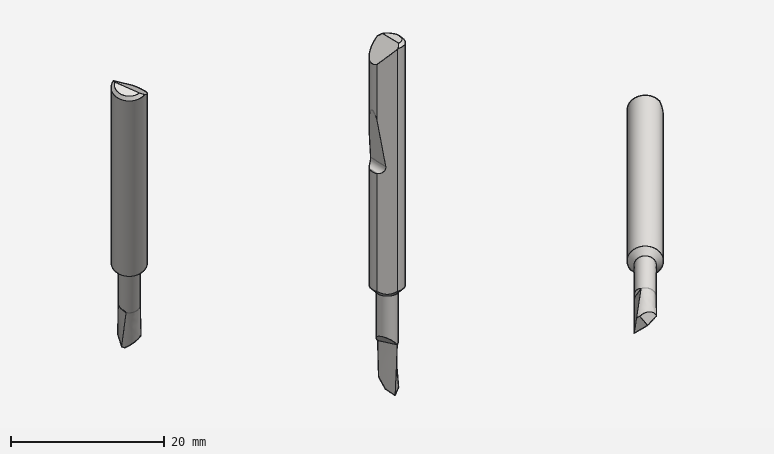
import cadquery as cq
import math


TOTAL_LENGTH = 50.8
SHANK_RADIUS = 4.76 / 2
SHANK_BOTTOM_Z = 15.3
TOP_CHAMFER = 0.45
TOP_BEVEL_HEIGHT = 2.9
FLAT_NORMAL_ANGLE = 145
FLAT_DISTANCE = 1.96

NOTCH_BOTTOM_Z = 32.3
NOTCH_TOP_Z = 41.2
NOTCH_DEPTH = 1.25
NOTCH_FILLET = 0.9

NECK_RADIUS = 1.46
NECK_CONE_BOTTOM_Z = SHANK_BOTTOM_Z - (SHANK_RADIUS - NECK_RADIUS)

TIP_TOP_Z = 6.95
TIP_BOTTOM_RADIUS = 1.75
CUTTING_ANGLE_TOP = 210
HEEL_ANGLE_TOP = 284
RAKE_END_ANGLE_TOP = 26
CUTTING_ANGLE_BOTTOM = 181
HEEL_ANGLE_BOTTOM = 265
RAKE_END_ANGLE_BOTTOM = 5
END_CLEARANCE_ANGLE = 4.5
TIP_CHAMFER_HEIGHT = 1.57

CUT_SIZE = 4 * SHANK_RADIUS


def polar(radius, angle):
    return radius * math.cos(math.radians(angle)), radius * math.sin(math.radians(angle))


def make_shank_and_neck():
    profile = [
        (0, TIP_TOP_Z),
        (NECK_RADIUS, TIP_TOP_Z),
        (NECK_RADIUS, NECK_CONE_BOTTOM_Z),
        (SHANK_RADIUS, SHANK_BOTTOM_Z),
        (SHANK_RADIUS, TOTAL_LENGTH - TOP_CHAMFER),
        (SHANK_RADIUS - TOP_CHAMFER, TOTAL_LENGTH),
        (0, TOTAL_LENGTH),
    ]
    return cq.Workplane("XZ").polyline(profile).close().revolve(360, (0, 0), (0, 1))


def make_shank_flat_cutter():
    return (
        cq.Workplane("XY")
        .box(CUT_SIZE, CUT_SIZE, TOTAL_LENGTH, centered=(False, True, False))
        .translate((FLAT_DISTANCE, 0, NECK_CONE_BOTTOM_Z))
        .rotate((0, 0, 0), (0, 0, 1), FLAT_NORMAL_ANGLE)
    )


def make_top_bevel_cutter():
    corners = [
        (SHANK_RADIUS, TOTAL_LENGTH - TOP_BEVEL_HEIGHT),
        (SHANK_RADIUS, TOTAL_LENGTH),
        (SHANK_RADIUS - TOP_BEVEL_HEIGHT, TOTAL_LENGTH),
    ]
    return cq.Workplane("YZ").polyline(corners).close().extrude(SHANK_RADIUS, both=True)


def make_notch_cutter():
    corners = [
        (SHANK_RADIUS, NOTCH_BOTTOM_Z),
        (SHANK_RADIUS - NOTCH_DEPTH, NOTCH_BOTTOM_Z),
        (SHANK_RADIUS, NOTCH_TOP_Z),
    ]
    floor_corner = cq.selectors.NearestToPointSelector((0, SHANK_RADIUS - NOTCH_DEPTH, NOTCH_BOTTOM_Z))
    return (
        cq.Workplane("YZ")
        .polyline(corners)
        .close()
        .extrude(SHANK_RADIUS, both=True)
        .edges("|X")
        .edges(floor_corner)
        .fillet(NOTCH_FILLET)
    )


def make_runout_cutter(start_angle, end_angle):
    """45 degree run-out of a tip face into the neck, rising outward from its chord across the section."""
    outward_angle = (start_angle + end_angle) / 2
    half_span = (end_angle - start_angle) / 2
    chord_distance = NECK_RADIUS * math.cos(math.radians(half_span))
    run_length = 2 * NECK_RADIUS
    plane = cq.Plane(
        origin=(0, 0, TIP_TOP_Z),
        xDir=(*polar(1, outward_angle), 0),
        normal=(*polar(1, outward_angle - 90), 0),
    )
    corners = [
        (chord_distance, 0),
        (chord_distance + run_length, 0),
        (chord_distance + run_length, run_length),
    ]
    return cq.Workplane(plane).polyline(corners).close().extrude(CUT_SIZE, both=True)


def draw_tip_section(plane, radius, cutting_angle, heel_angle, rake_end_angle):
    """Relief chord, round back and rake chord of the tip section."""
    back_middle_angle = (heel_angle + rake_end_angle + 360) / 2
    return (
        plane.moveTo(*polar(radius, cutting_angle))
        .lineTo(*polar(radius, heel_angle))
        .threePointArc(polar(radius, back_middle_angle), polar(radius, rake_end_angle))
        .close()
    )


def make_tip():
    bottom = draw_tip_section(
        cq.Workplane("XY"), TIP_BOTTOM_RADIUS, CUTTING_ANGLE_BOTTOM, HEEL_ANGLE_BOTTOM, RAKE_END_ANGLE_BOTTOM
    )
    both = draw_tip_section(
        bottom.workplane(offset=TIP_TOP_Z), NECK_RADIUS, CUTTING_ANGLE_TOP, HEEL_ANGLE_TOP, RAKE_END_ANGLE_TOP
    )
    tip = both.loft(ruled=True)
    end_rise = 2 * TIP_BOTTOM_RADIUS * math.tan(math.radians(END_CLEARANCE_ANGLE))
    end_corners = [
        (-TIP_BOTTOM_RADIUS, 0),
        (TIP_BOTTOM_RADIUS, 0),
        (TIP_BOTTOM_RADIUS, end_rise),
    ]
    chamfer_corners = [
        (TIP_BOTTOM_RADIUS, 0),
        (TIP_BOTTOM_RADIUS, TIP_CHAMFER_HEIGHT),
        (TIP_BOTTOM_RADIUS - TIP_CHAMFER_HEIGHT, 0),
    ]
    for corners in (end_corners, chamfer_corners):
        tip = tip.cut(cq.Workplane("XZ").polyline(corners).close().extrude(CUT_SIZE, both=True))
    return tip


shank = (
    make_shank_and_neck()
    .cut(make_shank_flat_cutter())
    .cut(make_top_bevel_cutter())
    .cut(make_notch_cutter())
    .cut(make_runout_cutter(RAKE_END_ANGLE_TOP, CUTTING_ANGLE_TOP))
    .cut(make_runout_cutter(CUTTING_ANGLE_TOP, HEEL_ANGLE_TOP))
)
result = shank.union(make_tip())